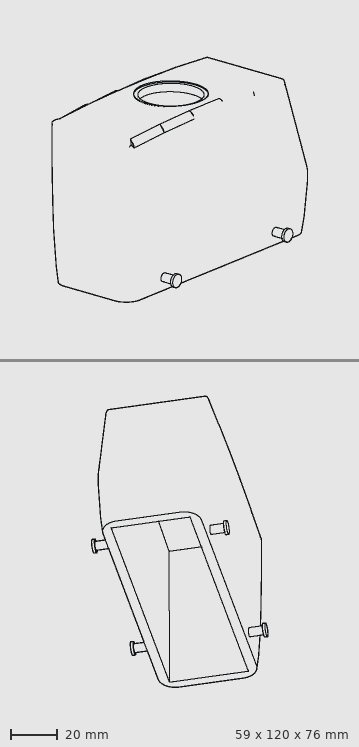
import cadquery as cq
import math

length = 120.0
height = 76.0
half_width = 22.7
front_y = -length / 2
back_y = length / 2

rim_half_width = 21.6
step_height = 7.1
step_half_width = 22.2
shoulder_height = 23.6

front_draft = math.radians(0.7)
back_lean = math.radians(20.2)
knee_height = 28.5
knee_round = 10.2
knee_tangent = knee_round * math.tan(back_lean / 2)
knee_start = knee_height - knee_tangent
knee_end = knee_height + knee_tangent * math.cos(back_lean)

rim_corner = 7.5
front_step_corner = 6.5
front_shoulder_corner = 4.3
front_middle_corner = 2.3
back_step_corner = 5.9
knee_corner = 3.1
top_corner = 1.5

roof_radius = 636.0
roof_center_y = -5.9
roof_axis_z = height - roof_radius
roof_round = 3.0
back_roof_round = 1.5

entry_diameter = 28.3
recess_diameter = 31.9
recess_depth = 0.6

wall = 4.3

trim_height = height + 1.2

pin_total_width = 59.0
pin_spacing = 73.9
pin_height = 6.2
shank_diameter = 4.0
head_diameter = 6.0
head_thickness = 1.2


def front_at(z):
    """Y of the drafted front wall at height z."""
    return front_y + z * math.tan(front_draft)


def back_at(z):
    """Y of the back wall at height z, upright, then curved at the knee, then leaning."""
    if z <= knee_start:
        return back_y
    if z < knee_end:
        return back_y - knee_round + math.sqrt(knee_round**2 - (z - knee_start) ** 2)
    return back_y - (z - knee_height) * math.tan(back_lean)


def end_section(z, half, end, radius):
    """Horizontal section from the middle of the hood to one end, with two rounded corners."""
    towards_end = math.copysign(1, end)
    straight_end = end - towards_end * radius
    bend_y = end - towards_end * radius * (1 - math.sqrt(0.5))
    bend_x = half - radius * (1 - math.sqrt(0.5))
    outline = (
        cq.Workplane("XY", origin=(0, 0, z))
        .moveTo(-half, 0)
        .lineTo(half, 0)
        .lineTo(half, straight_end)
        .threePointArc((bend_x, bend_y), (half - radius, end))
        .lineTo(-half + radius, end)
        .threePointArc((-bend_x, bend_y), (-half, straight_end))
        .close()
    )
    return outline.wires().val()


def front_section(z, half, radius):
    """Section of the front half at height z."""
    return end_section(z, half, front_at(z), radius)


def back_section(z, half, radius):
    """Section of the back half at height z."""
    return end_section(z, half, back_at(z), radius)


def stack(*lofts):
    """Join lofted solids into one body."""
    body = cq.Workplane(lofts[0])
    for loft in lofts[1:]:
        body = body.union(cq.Workplane(loft))
    return body


def front_walls():
    """Front half, with upright corners that tighten from the rim to the roof."""
    rim = front_section(0, rim_half_width, rim_corner)
    step = front_section(step_height, step_half_width, front_step_corner)
    shoulder = front_section(shoulder_height, half_width, front_shoulder_corner)
    middle = front_section((shoulder_height + trim_height) / 2, half_width, front_middle_corner)
    top = front_section(trim_height, half_width, top_corner)
    return stack(
        cq.Solid.makeLoft([rim, step, shoulder], True),
        cq.Solid.makeLoft([shoulder, middle, top]),
    )


def back_walls():
    """Back half, with the curved knee and corners that tighten along the leaning wall."""
    rim = back_section(0, rim_half_width, rim_corner)
    step = back_section(step_height, step_half_width, back_step_corner)
    shoulder = back_section(shoulder_height, half_width, knee_corner)
    knee_foot = back_section(knee_start, half_width, knee_corner)
    knee_middle = back_section((knee_start + knee_end) / 2, half_width, knee_corner)
    knee_head = back_section(knee_end, half_width, knee_corner)
    top = back_section(trim_height, half_width, top_corner)
    return stack(
        cq.Solid.makeLoft([rim, step, shoulder, knee_foot], True),
        cq.Solid.makeLoft([knee_foot, knee_middle, knee_head]),
        cq.Solid.makeLoft([knee_head, top], True),
    )


def end_outline(bottom):
    """YZ outline with a drafted front and a sharp-kneed back, running past the roof."""
    return (
        cq.Workplane("YZ")
        .moveTo(front_at(bottom), bottom)
        .lineTo(back_at(bottom), bottom)
        .lineTo(back_y, knee_height)
        .lineTo(back_at(trim_height), trim_height)
        .lineTo(front_at(trim_height), trim_height)
        .close()
    )


def arch(radius):
    """Large cylinder about the axis of the roof arch."""
    return (
        cq.Workplane("YZ", origin=(0, roof_center_y, roof_axis_z))
        .circle(radius)
        .extrude(length, both=True)
    )


def end_rounding():
    """Wide arched prism that rounds the two end edges of the roof."""
    prism = end_outline(0).extrude(length / 2, both=True).intersect(arch(roof_radius))
    prism = prism.faces(">Z").edges("|X").edges(">Y").fillet(back_roof_round)
    return prism.faces(">Z").edges("|X").edges("<Y").fillet(roof_round)


def side_rounding():
    """Arched bar with rounded long edges, turned about the axis of the roof arch."""
    sweep = 20.0
    bar = (
        cq.Workplane("XZ", origin=(0, roof_center_y, 0))
        .moveTo(-half_width, -height)
        .lineTo(half_width, -height)
        .lineTo(half_width, height - roof_round)
        .radiusArc((half_width - roof_round, height), -roof_round)
        .lineTo(-half_width + roof_round, height)
        .radiusArc((-half_width, height - roof_round), -roof_round)
        .close()
    )
    axis_start = (0, roof_center_y, roof_axis_z)
    axis_end = (1, roof_center_y, roof_axis_z)
    turned = bar.revolve(sweep, (0, roof_axis_z), (1, roof_axis_z))
    return turned.rotate(axis_start, axis_end, -sweep / 2)


def cavity():
    """Hollow inside the end walls and roof, open at the rim."""
    below_rim = -2 * wall
    ends = end_outline(below_rim).offset2D(-wall, "intersection")
    hollow = ends.extrude(rim_half_width - wall, both=True)
    return hollow.intersect(arch(roof_radius - wall))


def cable_entry():
    """Round opening through the roof with a shallow flat recess around it."""
    bore = (
        cq.Workplane("XY", origin=(0, roof_center_y, height / 2))
        .circle(entry_diameter / 2)
        .extrude(height)
    )
    recess = (
        cq.Workplane("XY", origin=(0, roof_center_y, height - recess_depth))
        .circle(recess_diameter / 2)
        .extrude(height)
    )
    return bore.union(recess)


def locking_pin(side, y):
    """Headed pin rooted in the long wall on the given X side (-1 or 1)."""
    tip = pin_total_width / 2
    root = rim_half_width - wall / 2
    shank = (
        cq.Workplane("YZ", origin=(side * root, y, pin_height))
        .circle(shank_diameter / 2)
        .extrude(side * (tip - root))
    )
    head = (
        cq.Workplane("YZ", origin=(side * tip, y, pin_height))
        .circle(head_diameter / 2)
        .extrude(-side * head_thickness)
    )
    return shank.union(head)


outer = front_walls().union(back_walls())
outer = outer.intersect(end_rounding()).intersect(side_rounding())
result = outer.cut(cavity()).cut(cable_entry())
for side in (-1, 1):
    for y in (-pin_spacing / 2, pin_spacing / 2):
        result = result.union(locking_pin(side, y))